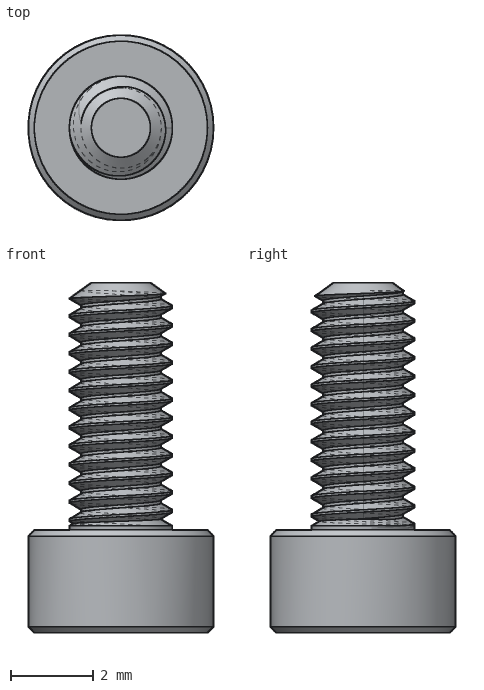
import cadquery as cq
import math

head_diameter = 4.5
head_height = 2.5
head_chamfer = 0.15
thread_diameter = 2.5
pitch = 0.45
screw_length = 6.0
collar_height = 0.1
tip_radius = 0.715
tip_height = 0.385
first_groove = 2.735

flank_angle = 30
flank_slope = math.tan(math.radians(flank_angle))
crest_width = pitch / 8
root_width = pitch / 6
thread_radius = thread_diameter / 2
flank_rise = (pitch - crest_width - root_width) / 2
thread_depth = flank_rise / flank_slope
root_radius = thread_radius - thread_depth
root_half_width = root_width / 2
groove_half_width = root_half_width + flank_rise

total_height = head_height + screw_length
collar_top = head_height + collar_height

turns_below = 2
turns_above = 1
turns = math.ceil(screw_length / pitch) + turns_below + turns_above
rod_bottom = first_groove - turns_below * pitch
trim_radius = 2 * thread_radius
trim_bottom = head_height + collar_height / 2


def revolve_profile(points):
    """Turn a closed (radius, height) outline around the Z axis."""
    return cq.Workplane("XZ").polyline(points).close().revolve(360, (0, 0, 0), (0, 1, 0))


def make_head():
    head = cq.Workplane("XY").circle(head_diameter / 2).extrude(head_height)
    return head.faces("<Z or >Z").chamfer(head_chamfer)


def make_collar():
    """Plain collar whose top slopes up at the flank angle to the thread root."""
    cone_top = collar_top + flank_rise
    return revolve_profile([
        (0, head_height),
        (thread_radius, head_height),
        (thread_radius, collar_top),
        (root_radius, cone_top),
        (0, cone_top),
    ])


def make_trim_envelope():
    """Space the thread may fill: wider than the crests, with the conical point on top."""
    tip_slope = tip_height / (thread_radius - tip_radius)
    cone_bottom = total_height - (trim_radius - tip_radius) * tip_slope
    return revolve_profile([
        (0, trim_bottom),
        (trim_radius, trim_bottom),
        (trim_radius, cone_bottom),
        (tip_radius, total_height),
        (0, total_height),
    ])


def one_turn(radius, height):
    """Right-handed helix edge of a single turn, starting on the +X side."""
    return cq.Wire.makeHelix(pitch, pitch, radius, center=cq.Vector(0, 0, height)).Edges()[0]


def end_faces(helix, profile_points):
    """Close a rod end: a helicoid from the axis to the helix, and the flat step at its seam."""
    axis_start = cq.Vector(0, 0, helix.startPoint().z)
    axis_end = cq.Vector(0, 0, helix.endPoint().z)
    helicoid = cq.Face.makeRuledSurface(cq.Edge.makeLine(axis_start, axis_end), helix)
    step_outline = cq.Wire.makePolygon([axis_start, *profile_points, axis_end], close=True)
    return [helicoid, cq.Face.makeFromWires(step_outline)]


def make_threaded_rod():
    """Solid rod bounded by root, flank and crest faces, one set for each turn."""
    profile = [
        (root_radius, -root_half_width),
        (root_radius, root_half_width),
        (thread_radius, groove_half_width),
        (thread_radius, pitch - groove_half_width),
    ]
    helices = []
    for turn in range(turns):
        turn_bottom = rod_bottom + turn * pitch
        helices += [one_turn(radius, turn_bottom + offset) for radius, offset in profile]
    helices.append(one_turn(root_radius, rod_bottom + turns * pitch - root_half_width))

    faces = [cq.Face.makeRuledSurface(lower, upper) for lower, upper in zip(helices, helices[1:])]
    edges_per_pitch = len(profile) + 1
    bottom_step = [helix.startPoint() for helix in helices[:edges_per_pitch]]
    top_step = [helix.endPoint() for helix in helices[-edges_per_pitch:]]
    faces += end_faces(helices[0], bottom_step)
    faces += end_faces(helices[-1], top_step)
    return cq.Workplane(cq.Solid.makeSolid(cq.Shell.makeShell(faces)))


threaded_shank = make_threaded_rod().intersect(make_trim_envelope())
screw = threaded_shank.union(make_collar()).union(make_head())
result = cq.Workplane(screw.solids().val())